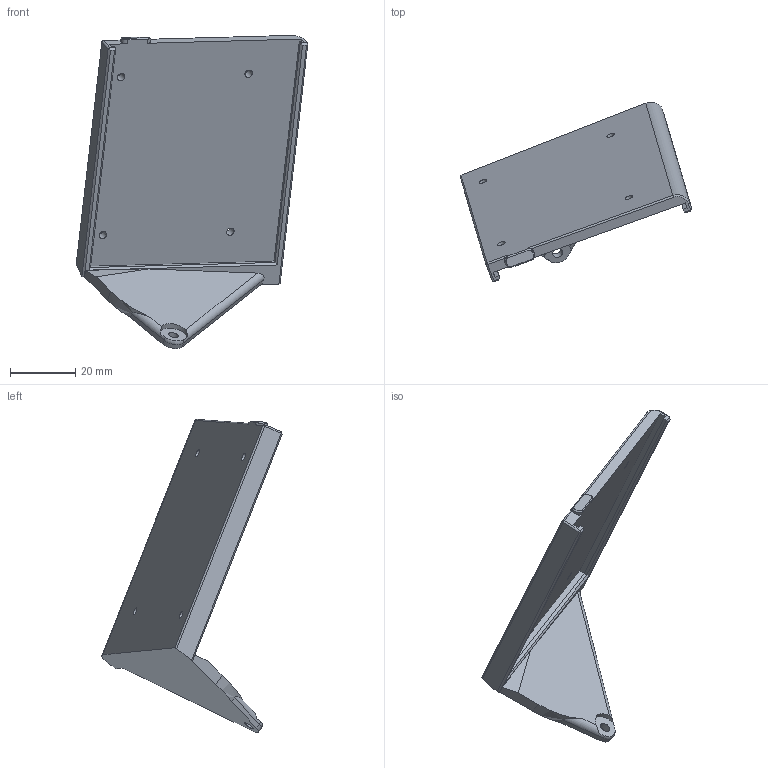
import cadquery as cq
import math


TRAY_WIDTH = 65.0
TRAY_LENGTH = 74.0
FLOOR_THICKNESS = 3.5
WALL_THICKNESS = 1.25
CORNER_RADIUS = 4.0
EDGE_RADIUS = 0.5
BLANK_DROP = 20.0

LIP_REACH = 1.25
LIP_BACK = -1.8
LIP_FRONT = -3.4
LIP_CHAMFER = 0.6

HOLE_DIAMETER = 2.4
HOLE_SPACING_X = 41.5
HOLE_SPACING_Z = 52.3
HOLE_FIRST_X = 6.4
HOLE_FIRST_Z = 10.7

TONGUE_LEFT = 5.7
TONGUE_WIDTH = 9.4
TONGUE_HEIGHT = 1.8
TONGUE_SLOPE = 18.5
TONGUE_CHAMFER = 0.4
TONGUE_CORNER = 1.5

BASE_PITCH = 13.83
BASE_ROLL = 3.8
BASE_THICKNESS = 3.5
BASE_LEDGE_Z = 0.5
BASE_LEFT_START = (0.8, -6.9)
BASE_LEFT_BEND = (5.0, -18.7)
BASE_LEFT_BEND_END = (9.9, -27.4)
BASE_RIGHT_ANGLE = 43.7
BASE_FILLET = 2.0
BASE_ROOT_Y = -4.0

EAR_CENTER = (20.1, -39.0)
EAR_RADIUS = 3.8
EAR_HOLE_DIAMETER = 3.1
EAR_FLOOR = 2.3
EAR_RECESS_RADIUS = 4.2
EAR_TILT = 6.0

YAW = 20.45
PITCH = 22.35
ROLL = -1.59
PLACE = (-34.46, 2.03, -23.38)

SPAN = 200.0


def box(x0, x1, y0, y1, z0, z1):
    return cq.Workplane("XY").box(x1 - x0, y1 - y0, z1 - z0, centered=False).translate((x0, y0, z0))


def tilt_base(shape):
    """Move a shape from the base frame (underside at Z = 0) into the tray frame."""
    shape = shape.rotate((0, 0, 0), (1, 0, 0), BASE_PITCH)
    shape = shape.rotate((0, 0, 0), (0, 1, 0), BASE_ROLL)
    return shape.translate((0, FLOOR_THICKNESS, 0))


def below_base():
    """Everything under the tilted underside of the part."""
    return tilt_base(cq.Workplane("XY").box(SPAN, SPAN, SPAN).translate((0, 0, -SPAN / 2)))


def tray_blank():
    """Tray without its pocket, closed at the bottom by the tilted underside."""
    c = LIP_CHAMFER
    blank = (
        cq.Workplane("XY", origin=(0, 0, -BLANK_DROP))
        .moveTo(0, FLOOR_THICKNESS)
        .lineTo(0, LIP_FRONT + c)
        .lineTo(c, LIP_FRONT)
        .lineTo(TRAY_WIDTH - c, LIP_FRONT)
        .lineTo(TRAY_WIDTH, LIP_FRONT + c)
        .lineTo(TRAY_WIDTH, FLOOR_THICKNESS)
        .close()
        .extrude(BLANK_DROP + TRAY_LENGTH)
    )
    blank = blank.edges("|Z and >X and >Y").fillet(CORNER_RADIUS)
    blank = blank.edges("|Z and <X and >Y").fillet(EDGE_RADIUS)
    blank = blank.faces("<X or >X or >Y").edges(">Z").fillet(EDGE_RADIUS)
    bevel = (
        cq.Workplane("YZ")
        .moveTo(LIP_FRONT, TRAY_LENGTH - c)
        .lineTo(LIP_FRONT + c, TRAY_LENGTH)
        .lineTo(LIP_FRONT, TRAY_LENGTH)
        .close()
        .extrude(TRAY_WIDTH)
    )
    return blank.cut(bevel).cut(below_base())


def base_plate():
    """Plate with a bent left edge, an ear at its tip and a rounded right edge."""
    cx, cy = EAR_CENTER
    angle = math.radians(BASE_RIGHT_ANGLE)
    right_x = cx + EAR_RADIUS * math.sin(angle)
    right_y = cy - EAR_RADIUS * math.cos(angle)
    root_x = right_x + (BASE_ROOT_Y - right_y) / math.tan(angle)
    bx, by = BASE_LEFT_BEND_END
    distance = math.hypot(cx - bx, cy - by)
    heading = math.atan2(cy - by, cx - bx) - math.asin(EAR_RADIUS / distance)
    left_x = cx + EAR_RADIUS * math.sin(heading)
    left_y = cy - EAR_RADIUS * math.cos(heading)
    tip = (heading + angle) / 2 - math.pi / 2
    tip_point = (cx + EAR_RADIUS * math.cos(tip), cy + EAR_RADIUS * math.sin(tip))
    plate = (
        cq.Workplane("XY")
        .moveTo(BASE_LEFT_START[0], BASE_ROOT_Y)
        .lineTo(*BASE_LEFT_START)
        .lineTo(*BASE_LEFT_BEND)
        .tangentArcPoint(BASE_LEFT_BEND_END, relative=False)
        .lineTo(left_x, left_y)
        .threePointArc(tip_point, (right_x, right_y))
        .lineTo(root_x, BASE_ROOT_Y)
        .close()
        .extrude(BASE_THICKNESS)
    )
    right_edge = cq.selectors.NearestToPointSelector(
        ((right_x + root_x) / 2, (right_y + BASE_ROOT_Y) / 2, BASE_THICKNESS)
    )
    plate = tilt_base(plate.edges(right_edge).fillet(BASE_FILLET))
    return plate.cut(box(-SPAN, SPAN, -SPAN, SPAN, BASE_LEDGE_Z, SPAN))


def ear_cut():
    """Round recess above the ear floor and the screw hole below it, on a tilted axis."""
    tool = cq.Workplane("XY").circle(EAR_RECESS_RADIUS).extrude(SPAN)
    tool = tool.union(cq.Workplane("XY").circle(EAR_HOLE_DIAMETER / 2).extrude(-SPAN / 2))
    tool = tool.rotate((0, 0, 0), (1, 0, 0), -EAR_TILT).translate((*EAR_CENTER, EAR_FLOOR))
    return tilt_base(tool)


def pocket():
    """Room behind the lip and the chamfered mouth between its edges."""
    left, right = WALL_THICKNESS, TRAY_WIDTH - WALL_THICKNESS
    room = box(left, right, LIP_BACK, 0, 0, SPAN)
    mouth = box(left + LIP_REACH, right - LIP_REACH, LIP_FRONT, LIP_BACK, LIP_REACH, SPAN)
    c = LIP_CHAMFER
    flare = (
        cq.Workplane("XZ", origin=(0, LIP_FRONT, 0))
        .moveTo(left + LIP_REACH - c, LIP_REACH - c)
        .lineTo(right - LIP_REACH + c, LIP_REACH - c)
        .lineTo(right - LIP_REACH + c, SPAN)
        .lineTo(left + LIP_REACH - c, SPAN)
        .close()
        .extrude(-c, taper=45)
    )
    return room.union(mouth).union(flare)


def tongue():
    """Tab on the top end, sloping down to the back, with rounded corners."""
    rise = FLOOR_THICKNESS * math.tan(math.radians(TONGUE_SLOPE))
    front_z = TRAY_LENGTH + TONGUE_HEIGHT
    tab = (
        cq.Workplane("YZ", origin=(TONGUE_LEFT, 0, 0))
        .moveTo(0, TRAY_LENGTH - EDGE_RADIUS)
        .lineTo(0, front_z)
        .lineTo(FLOOR_THICKNESS, front_z - rise)
        .lineTo(FLOOR_THICKNESS, TRAY_LENGTH - EDGE_RADIUS)
        .close()
        .extrude(TONGUE_WIDTH)
    )
    tab = tab.edges("|Z").fillet(TONGUE_CORNER)
    return tab.edges("<Y").edges(">Z").chamfer(TONGUE_CHAMFER)


def holes():
    """Four screw holes through the tray floor."""
    points = [
        (HOLE_FIRST_X + column * HOLE_SPACING_X, HOLE_FIRST_Z + row * HOLE_SPACING_Z)
        for column in (0, 1)
        for row in (0, 1)
    ]
    return cq.Workplane("XZ").pushPoints(points).circle(HOLE_DIAMETER / 2).extrude(SPAN, both=True)


body = tray_blank().union(base_plate())
body = body.cut(pocket()).cut(ear_cut()).cut(holes()).union(tongue())
result = (
    body.rotate((0, 0, 0), (0, 1, 0), ROLL)
    .rotate((0, 0, 0), (1, 0, 0), PITCH)
    .rotate((0, 0, 0), (0, 0, 1), YAW)
    .translate(PLACE)
)